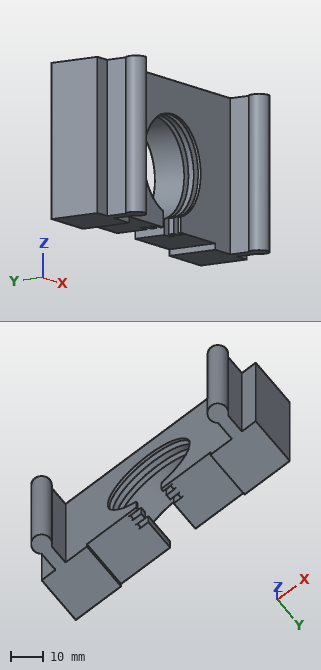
import cadquery as cq

BLOCK_WIDTH = 85.0
BLOCK_DEPTH = 17.0
BLOCK_HEIGHT = 49.5

RECESS_WIDTH = 49.0
RECESS_HEIGHT = 2.0

BORE_RADIUS = 16.25
BORE_CENTRE_Z = 22.5
SLOT_WIDTH = 10.0

GROOVE_RADIUS = 22.0
GROOVE_WIDTH = 1.65
LIP_THICKNESS = 0.95
RIDGE_THICKNESS = 1.9
GROOVE_STARTS = (LIP_THICKNESS, LIP_THICKNESS + GROOVE_WIDTH + RIDGE_THICKNESS)

RAIL_SPACING = 70.0
WEB_THICKNESS = 4.0
BEAD_RADIUS = 3.25
RAIL_REACH = 12.65
BEAD_CENTRE_Y = BEAD_RADIUS - RAIL_REACH


def make_block():
    block = cq.Workplane("XY").box(
        BLOCK_WIDTH, BLOCK_DEPTH, BLOCK_HEIGHT, centered=(True, False, False)
    )
    recess = cq.Workplane("XY").box(
        RECESS_WIDTH, BLOCK_DEPTH, RECESS_HEIGHT, centered=(True, False, False)
    )
    return block.cut(recess)


def make_disc(radius, start_y, thickness):
    """Disc on the bore axis, running from start_y towards +Y."""
    return (
        cq.Workplane("XZ", origin=(0, start_y, BORE_CENTRE_Z))
        .circle(radius)
        .extrude(-thickness)
    )


def cut_bore(body):
    slot = cq.Workplane("XY").box(
        SLOT_WIDTH, BLOCK_DEPTH, BORE_CENTRE_Z, centered=(True, False, False)
    )
    body = body.cut(make_disc(BORE_RADIUS, 0, BLOCK_DEPTH)).cut(slot)
    for start_y in GROOVE_STARTS:
        body = body.cut(make_disc(GROOVE_RADIUS, start_y, GROOVE_WIDTH))
    return body


def make_rail(centre_x):
    web = (
        cq.Workplane("XY", origin=(centre_x, BEAD_CENTRE_Y, 0))
        .box(WEB_THICKNESS, -BEAD_CENTRE_Y, BLOCK_HEIGHT, centered=(True, False, False))
    )
    bead = (
        cq.Workplane("XY", origin=(centre_x, BEAD_CENTRE_Y, 0))
        .circle(BEAD_RADIUS)
        .extrude(BLOCK_HEIGHT)
    )
    return web.union(bead)


result = cut_bore(make_block())
for side in (-1, 1):
    result = result.union(make_rail(side * RAIL_SPACING / 2))